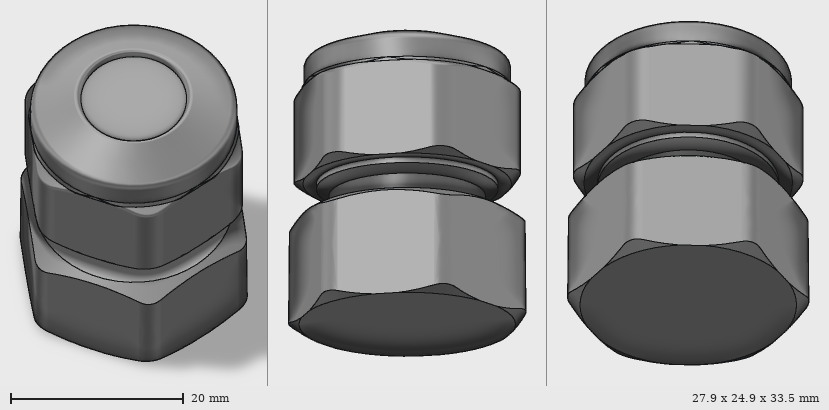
import cadquery as cq
import math

CHAMFER_ANGLE = math.radians(30)
CHAMFER_SLOPE = math.tan(CHAMFER_ANGLE)
EDGE_RADIUS = 0.5

LOWER_FLATS = 24.9
LOWER_HEIGHT = 13.0
LOWER_CORNER_RADIUS = 2.55
LOWER_DRAFT = 0.5
LOWER_TOP_RADIUS = 11.55
LOWER_BASE_RADIUS = 12.53

NECK_RADIUS = 9.08
FLANGE_RADIUS = 10.52
FLANGE_CONE_BASE = 15.5

UPPER_FLATS = 23.92
UPPER_CORNER_RADIUS = 3.35
UPPER_BASE = 17.02
UPPER_BASE_RADIUS = 12.05
UPPER_CONE_TOP = 28.48
CHAMFER_TIP_RADIUS = 10.05

TOTAL_HEIGHT = 33.5
CAP_RADIUS = UPPER_FLATS / 2
CAP_BASE = 28.15
CHAMFER_TIP = UPPER_CONE_TOP + (CAP_RADIUS - CHAMFER_TIP_RADIUS) * CHAMFER_SLOPE
CAP_EDGE_RADIUS = 1.0
CAP_SLOPE_ANGLE = math.radians(20)
RECESS_WALL_ANGLE = math.radians(60)
RECESS_DEPTH = 0.57
RIM_CREST_RADIUS = 6.75


def hexagon(flats, corner_radius, base, height, draft=0.0):
    """Hexagonal prism with two corners on the X axis and rounded vertical edges."""
    outline = (
        cq.Sketch()
        .regularPolygon(flats / math.sqrt(3), 6, 30)
        .vertices()
        .fillet(corner_radius)
    )
    return cq.Workplane("XY").workplane(offset=base).placeSketch(outline).extrude(height, taper=draft)


def turned(profile):
    """Solid of revolution about Z from a closed (radius, height) profile in the XZ plane."""
    return profile.close().revolve(360, (0, 0, 0), (0, 1, 0))


def chamfer_envelope(base, base_radius, top, top_radius):
    """Double cone that chamfers both ends of a hexagon."""
    widest = LOWER_FLATS
    return turned(
        cq.Workplane("XZ")
        .moveTo(0, base)
        .lineTo(base_radius, base)
        .lineTo(widest, base + (widest - base_radius) * CHAMFER_SLOPE)
        .lineTo(widest, top - (widest - top_radius) * CHAMFER_SLOPE)
        .lineTo(top_radius, top)
        .lineTo(0, top)
    )


def lower_hexagon():
    """Drafted hexagon chamfered at both ends."""
    prism = hexagon(LOWER_FLATS, LOWER_CORNER_RADIUS, 0, LOWER_HEIGHT, LOWER_DRAFT)
    return prism.intersect(chamfer_envelope(0, LOWER_BASE_RADIUS, LOWER_HEIGHT, LOWER_TOP_RADIUS))


def neck():
    """Cylindrical neck with a conical step out to the flange."""
    flange_cone_top = FLANGE_CONE_BASE + (FLANGE_RADIUS - NECK_RADIUS) * CHAMFER_SLOPE
    return turned(
        cq.Workplane("XZ")
        .moveTo(0, LOWER_HEIGHT)
        .lineTo(NECK_RADIUS, LOWER_HEIGHT)
        .lineTo(NECK_RADIUS, FLANGE_CONE_BASE)
        .lineTo(FLANGE_RADIUS, flange_cone_top)
        .lineTo(FLANGE_RADIUS, UPPER_BASE)
        .lineTo(0, UPPER_BASE)
    )


def upper_hexagon():
    """Chamfered hexagon whose wavy top rim is rounded over."""
    prism = hexagon(UPPER_FLATS, UPPER_CORNER_RADIUS, UPPER_BASE, CHAMFER_TIP - UPPER_BASE)
    body = prism.intersect(chamfer_envelope(UPPER_BASE, UPPER_BASE_RADIUS, CHAMFER_TIP, CHAMFER_TIP_RADIUS))
    rim = [
        edge
        for edge in body.faces("%CONE").faces(">Z").edges().vals()
        if edge.geomType() in ("HYPERBOLA", "BSPLINE")
    ]
    return body.newObject(rim).fillet(EDGE_RADIUS)


def cap_root():
    """Concave fillet between the cap wall and the top chamfer, trimmed to the hexagon."""
    half_turn = (math.pi / 2 - CHAMFER_ANGLE) / 2
    tangent = EDGE_RADIUS * math.tan(half_turn)
    foot_radius = CAP_RADIUS + tangent * math.cos(CHAMFER_ANGLE)
    foot_height = UPPER_CONE_TOP - tangent * math.sin(CHAMFER_ANGLE)
    top_height = UPPER_CONE_TOP + tangent
    arc_middle = (
        CAP_RADIUS + EDGE_RADIUS * (1 - math.cos(half_turn)),
        top_height - EDGE_RADIUS * math.sin(half_turn),
    )
    ring = turned(
        cq.Workplane("XZ")
        .moveTo(CHAMFER_TIP_RADIUS, foot_height)
        .lineTo(foot_radius, foot_height)
        .threePointArc(arc_middle, (CAP_RADIUS, top_height))
        .lineTo(CHAMFER_TIP_RADIUS, top_height)
    )
    return ring.intersect(hexagon(UPPER_FLATS, UPPER_CORNER_RADIUS, UPPER_BASE, TOTAL_HEIGHT - UPPER_BASE))


def cap():
    """Domed cap: rounded outer edge, conical top, rounded rim and a shallow tapered recess."""
    sin_slope, cos_slope = math.sin(CAP_SLOPE_ANGLE), math.cos(CAP_SLOPE_ANGLE)
    sin_wall, cos_wall = math.sin(RECESS_WALL_ANGLE), math.cos(RECESS_WALL_ANGLE)

    rim_center_height = TOTAL_HEIGHT - EDGE_RADIUS
    rim_outer_radius = RIM_CREST_RADIUS + EDGE_RADIUS * sin_slope
    rim_outer_height = rim_center_height + EDGE_RADIUS * cos_slope
    rim_inner_radius = RIM_CREST_RADIUS - EDGE_RADIUS * sin_wall
    rim_inner_height = rim_center_height + EDGE_RADIUS * cos_wall
    floor_height = TOTAL_HEIGHT - RECESS_DEPTH
    floor_radius = rim_inner_radius - (rim_inner_height - floor_height) / math.tan(RECESS_WALL_ANGLE)

    edge_center_radius = CAP_RADIUS - CAP_EDGE_RADIUS
    cone_end_radius = edge_center_radius + CAP_EDGE_RADIUS * sin_slope
    cone_end_height = rim_outer_height - (cone_end_radius - rim_outer_radius) * math.tan(CAP_SLOPE_ANGLE)
    edge_center_height = cone_end_height - CAP_EDGE_RADIUS * cos_slope
    edge_middle = (
        edge_center_radius + CAP_EDGE_RADIUS * math.cos(math.pi / 4),
        edge_center_height + CAP_EDGE_RADIUS * math.sin(math.pi / 4),
    )

    return turned(
        cq.Workplane("XZ")
        .moveTo(0, CAP_BASE)
        .lineTo(CAP_RADIUS, CAP_BASE)
        .lineTo(CAP_RADIUS, edge_center_height)
        .threePointArc(edge_middle, (cone_end_radius, cone_end_height))
        .lineTo(rim_outer_radius, rim_outer_height)
        .threePointArc((RIM_CREST_RADIUS, TOTAL_HEIGHT), (rim_inner_radius, rim_inner_height))
        .lineTo(floor_radius, floor_height)
        .lineTo(0, floor_height)
    )


result = lower_hexagon().union(neck()).union(upper_hexagon()).union(cap()).union(cap_root())